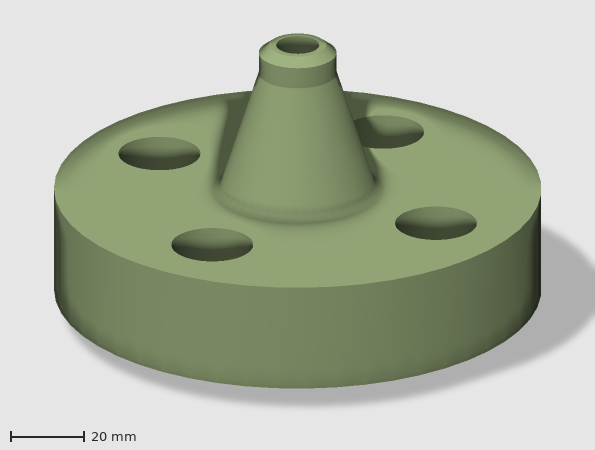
import cadquery as cq
import math

flange_diameter = 133.35
flange_thickness = 30.2

face_diameter = 35.05
face_height = 6.35

overall_height = 79.5
hub_base_diameter = 42.9
weld_end_diameter = 21.3
weld_end_length = 8.2
bevel_width = 2.9
bevel_angle = 37.5
hub_fillet_radius = 3.0

bore_diameter = 11.8

bolt_hole_diameter = 22.4
bolt_circle_diameter = 88.9
bolt_hole_count = 4

disc_bottom = face_height
disc_top = disc_bottom + flange_thickness
cone_top = overall_height - weld_end_length
bevel_bottom = overall_height - bevel_width * math.tan(math.radians(bevel_angle))


def make_body():
    """Revolve the disc, raised face and neck as one solid about Z."""
    weld_end_radius = weld_end_diameter / 2
    profile = [
        (0, 0),
        (face_diameter / 2, 0),
        (face_diameter / 2, disc_bottom),
        (flange_diameter / 2, disc_bottom),
        (flange_diameter / 2, disc_top),
        (hub_base_diameter / 2, disc_top),
        (weld_end_radius, cone_top),
        (weld_end_radius, bevel_bottom),
        (weld_end_radius - bevel_width, overall_height),
        (0, overall_height),
    ]
    return cq.Workplane("XZ").polyline(profile).close().revolve(360, (0, 0), (0, 1))


def fillet_hub(body):
    """Round the inside corner where the cone meets the top of the disc."""
    reach = hub_base_diameter / 2 + hub_fillet_radius
    margin = 0.1
    hub_base = cq.selectors.BoxSelector(
        (-reach, -reach, disc_top - margin),
        (reach, reach, disc_top + margin),
        boundingbox=True,
    )
    return body.edges(hub_base).fillet(hub_fillet_radius)


def make_bore():
    """Cylinder that clears the bore through the full height."""
    return cq.Workplane("XY").circle(bore_diameter / 2).extrude(overall_height)


def make_bolt_holes():
    """Cylinders that clear the bolt holes, evenly spaced on the bolt circle."""
    return (
        cq.Workplane("XY")
        .polarArray(bolt_circle_diameter / 2, 0, 360, bolt_hole_count)
        .circle(bolt_hole_diameter / 2)
        .extrude(disc_top)
    )


result = fillet_hub(make_body()).cut(make_bore()).cut(make_bolt_holes())